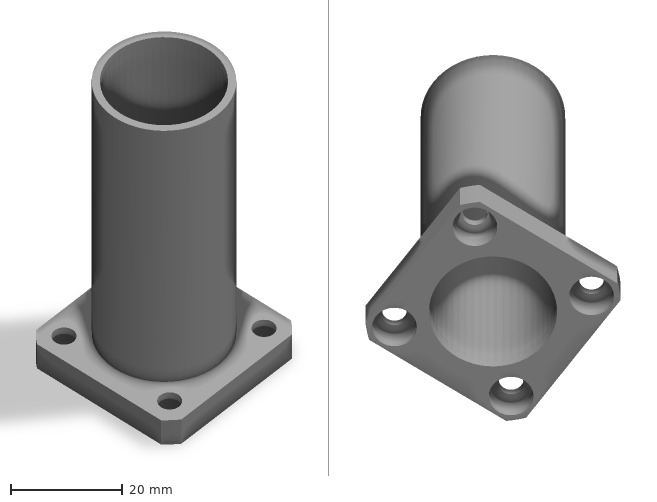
import cadquery as cq

total_height = 68.0
flange_width = 35.0
flange_thickness = 6.0
corner_diameter = 46.05

tube_diameter = 26.0
bore_diameter = 23.0

hole_diameter = 4.5
hole_spacing = 25.4
counterbore_diameter = 8.0
counterbore_depth = 4.4


def make_flange():
    """Square plate on Z = 0, its corners rounded off by a circle around the tube axis."""
    plate = cq.Workplane("XY").rect(flange_width, flange_width).extrude(flange_thickness)
    corner_disc = cq.Workplane("XY").circle(corner_diameter / 2).extrude(flange_thickness)
    return plate.intersect(corner_disc)


def make_tube():
    """Solid outer cylinder, running from the flange bottom to the top."""
    return cq.Workplane("XY").circle(tube_diameter / 2).extrude(total_height)


def make_bore():
    """Bore running through the whole part."""
    return cq.Workplane("XY").circle(bore_diameter / 2).extrude(total_height)


def make_hole_pattern(diameter, depth):
    """Four cylinders, one near each flange corner, rising from the flange bottom."""
    return (
        cq.Workplane("XY")
        .rect(hole_spacing, hole_spacing, forConstruction=True)
        .vertices()
        .circle(diameter / 2)
        .extrude(depth)
    )


def make_mounting_holes():
    """Through holes, each with a counterbore opening on the flange bottom."""
    through_holes = make_hole_pattern(hole_diameter, flange_thickness)
    counterbores = make_hole_pattern(counterbore_diameter, counterbore_depth)
    return through_holes.union(counterbores)


result = make_flange().union(make_tube()).cut(make_bore()).cut(make_mounting_holes())